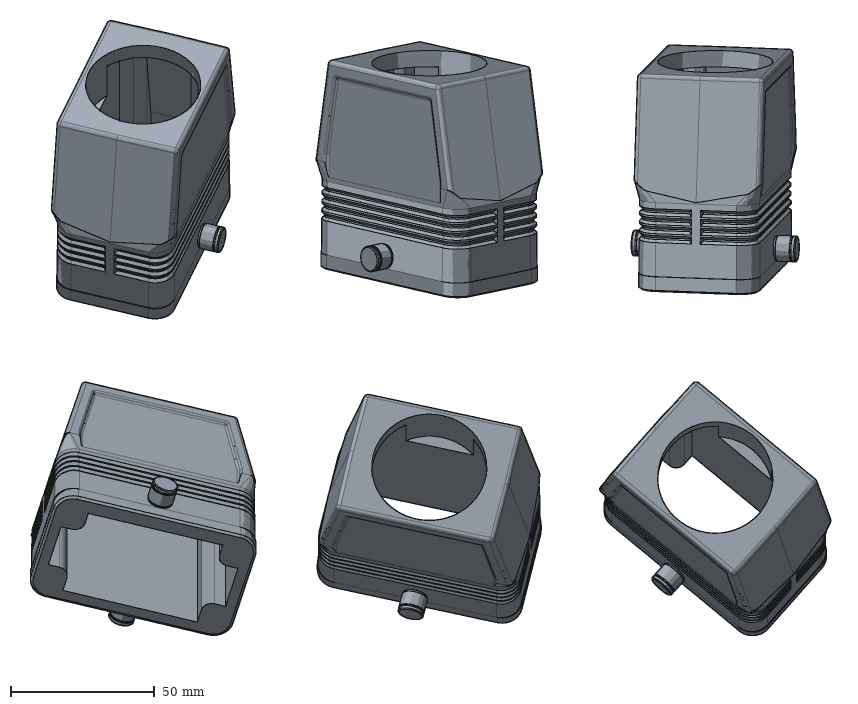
import cadquery as cq
import math

height = 75.25
pin_span = 58.0

margin = 0.75
thin = 0.1

flange_half_x = 21.45
flange_half_y = 36.5
flange_height = 5.4
flange_edge_height = 0.6
flange_edge_width = 0.9
corner_radius = 7.15
body_half_x = 21.45
body_half_y = 36.2
shoulder_z = 31.6
body_draft = 0.2

groove_count = 4
groove_bottom_z = 17.45
groove_width = 2.5
groove_floor = 0.6
groove_depth = 1.05
land_width = 0.7
bridge_half_width = 1.4
bridge_root_half_width = 2.5

hood_half_x = 22.5
hood_start_z = 38.8
end_half_y_top = 28.3
end_half_y_bottom = 36.0
end_bulge = 0.3
hood_fillet = 1.5
ridge_foot_z = 32.05
rim_break_x = 18.35
rim_break_z = 35.6
flare_setback = 0.19

panel_floor_x = 21.5
panel_top_z = 69.4
panel_top_half_y = 23.6
panel_knee_z = 41.55
panel_knee_half_y = 28.45
panel_wall_run = 0.6
panel_round = 0.9
panel_corner_round = 0.75

opening_radius = 20.0
opening_floor_z = 55.4
ceiling_z = 69.45
cavity_min_x = -17.0
cavity_max_x = 15.95
cavity_half_y = 24.3
bay_half_x = 8.1
bay_corner_radius = 3.7
bay_half_y_top = 26.25
bay_half_y_bottom = 32.0

pin_radius = 4.5
pin_z = 9.85
pin_end_chamfer = 0.4
pin_groove_start = 1.4
pin_groove_width = 0.5
pin_groove_depth = 0.2
pin_neck_length = 0.6
pin_neck_depth = 0.3


def rounded_loft(z0, half0, radius0, z1, half1, radius1):
    """Solid between two rounded rectangles at heights z0 and z1."""
    def section(z, half, radius):
        plan = cq.Sketch().rect(2 * half[0], 2 * half[1]).vertices().fillet(radius)
        return plan.moved(cq.Location(cq.Vector(0, 0, z)))

    lower = section(z0, half0, radius0)
    upper = section(z1, half1, radius1)
    return cq.Workplane("XY").placeSketch(lower, upper).loft(ruled=True)


def body_inset(z):
    """Inward shift of the drafted body wall at height z."""
    return body_draft * (z - flange_height) / (shoulder_z - flange_height)


def body_slice(z0, inset0, z1, inset1):
    """Slice of the body whose walls are set in from the drafted wall."""
    total0 = body_inset(z0) + inset0
    total1 = body_inset(z1) + inset1
    half0 = (body_half_x - total0, body_half_y - total0)
    half1 = (body_half_x - total1, body_half_y - total1)
    return rounded_loft(z0, half0, corner_radius - total0, z1, half1, corner_radius - total1)


def make_flange():
    base = rounded_loft(
        0, (flange_half_x, flange_half_y), corner_radius,
        flange_height, (flange_half_x, flange_half_y), corner_radius,
    )
    return base.faces("<Z").chamfer(flange_edge_height, flange_edge_width)


def make_body():
    slope = (groove_width - groove_floor) / 2
    profile = [(flange_height, 0)]
    for i in range(groove_count):
        z = groove_bottom_z + i * (groove_width + land_width)
        profile += [
            (z, 0),
            (z + slope, groove_depth),
            (z + slope + groove_floor, groove_depth),
            (z + groove_width, 0),
        ]
    profile.append((shoulder_z, 0))

    grooved = None
    for (z0, inset0), (z1, inset1) in zip(profile, profile[1:]):
        piece = body_slice(z0, inset0, z1, inset1)
        grooved = piece if grooved is None else grooved.union(piece)

    root_y = body_half_y - groove_depth - body_draft
    plain = body_slice(flange_height, 0, shoulder_z, 0)
    bridge = (
        cq.Workplane("XY")
        .polyline([
            (-bridge_half_width, -flange_half_y),
            (bridge_half_width, -flange_half_y),
            (bridge_half_width, -body_half_y),
            (bridge_root_half_width, -root_y),
            (-bridge_root_half_width, -root_y),
            (-bridge_half_width, -body_half_y),
        ])
        .close()
        .extrude(shoulder_z)
    )
    bridges = bridge.union(bridge.mirror("XZ"))
    return grooved.union(plain.intersect(bridges))


def end_half_y(z):
    """Half length of the hood along its middle line at height z."""
    share = (z - shoulder_z) / (height - shoulder_z)
    return end_half_y_bottom + share * (end_half_y_top - end_half_y_bottom)


def make_hood_block():
    """Hood with rounded edges, carried straight down to the shoulder."""
    def plan(z):
        middle = end_half_y(z)
        side = middle - end_bulge
        return [
            (-hood_half_x, -side), (0, -middle), (hood_half_x, -side),
            (hood_half_x, side), (0, middle), (-hood_half_x, side),
        ]

    block = (
        cq.Workplane("XY", origin=(0, 0, shoulder_z))
        .polyline(plan(shoulder_z)).close()
        .workplane(offset=height - shoulder_z)
        .polyline(plan(height)).close()
        .loft(ruled=True)
    )
    above_foot = cq.selectors.BoxSelector(
        (-flange_half_y, -flange_half_y, shoulder_z + margin),
        (flange_half_y, flange_half_y, height + margin),
    )
    side_edges = block.faces("<X or >X").edges(above_foot).vals()
    top_edges = block.faces(">Z").edges("not <X").edges("not >X").vals()
    return block.newObject(side_edges + top_edges).fillet(hood_fillet)


def make_panel_tool():
    """Pocket of the +X panel; it runs out below the shoulder."""
    pocket_depth = hood_half_x - panel_floor_x
    overshoot = 0.75
    run_out = 3.8
    growth = panel_wall_run * (pocket_depth + overshoot) / pocket_depth

    def outline(grow):
        top_half_y = panel_top_half_y + grow
        knee_half_y = panel_knee_half_y + grow
        bottom_z = shoulder_z - run_out
        right = [(knee_half_y, bottom_z), (knee_half_y, panel_knee_z), (top_half_y, panel_top_z + grow)]
        left = [(-y, z) for y, z in reversed(right)]
        return right + left

    tool = (
        cq.Workplane("YZ", origin=(panel_floor_x, 0, 0))
        .polyline(outline(0)).close()
        .workplane(offset=pocket_depth + overshoot)
        .polyline(outline(growth)).close()
        .loft(ruled=True)
    )
    upper_corners = cq.selectors.BoxSelector(
        (panel_floor_x, -hood_start_z, panel_top_z - margin),
        (hood_half_x + 2 * margin, hood_start_z, height),
    )
    tool = tool.edges(upper_corners).edges("not |Y").fillet(panel_corner_round)
    return tool.faces("<X").edges("not(<Z)").fillet(panel_round)


def make_side_cutter(block):
    """Material to remove from the +X side: the panel pocket with its rounded rim."""
    reach_y = panel_knee_half_y + panel_wall_run + panel_round
    pocketed = block.cut(make_panel_tool())
    rim = cq.selectors.BoxSelector(
        (hood_half_x - thin, -reach_y, shoulder_z + margin),
        (hood_half_x + thin, reach_y, height - hood_fillet - margin),
    )
    pocketed = pocketed.edges(rim).fillet(panel_round)
    zone = cq.Workplane("XY").box(
        hood_half_x, 2 * reach_y, height - hood_fillet - shoulder_z, centered=(False, True, False)
    )
    return zone.translate((panel_floor_x, 0, shoulder_z)).cut(pocketed)


def make_hood():
    block = make_hood_block()

    rim_outline = (
        cq.Workplane("XZ")
        .polyline([
            (0, ridge_foot_z),
            (rim_break_x, rim_break_z),
            (hood_half_x, hood_start_z),
            (hood_half_x, height),
            (-hood_half_x, height),
            (-hood_half_x, hood_start_z),
            (-rim_break_x, rim_break_z),
        ])
        .close()
        .extrude(flange_half_y, both=True)
    )

    waist_half = (body_half_x - body_draft, body_half_y - body_draft)
    hood_half = (hood_half_x, end_half_y(hood_start_z) - end_bulge - flare_setback)
    flare = rounded_loft(
        shoulder_z, waist_half, corner_radius - body_draft, hood_start_z, hood_half, hood_fillet
    )

    cutter = make_side_cutter(block)
    hood = block.intersect(rim_outline).union(flare)
    return hood.cut(cutter).cut(cutter.mirror("YZ"))


def make_cavity():
    """Inside space, open at the bottom, with a narrower tapered bay at each end."""
    middle_x = (cavity_min_x + cavity_max_x) / 2
    room = (
        cq.Workplane("XY")
        .center(middle_x, 0)
        .rect(cavity_max_x - cavity_min_x, 2 * cavity_half_y)
        .extrude(ceiling_z)
    )

    mouth_half_x = bay_half_x + bay_corner_radius
    neck_y = cavity_half_y + bay_corner_radius
    arc_shift = bay_corner_radius * (1 - math.sqrt(0.5))
    arc_x = bay_half_x + arc_shift
    arc_y = cavity_half_y + arc_shift
    bay_plan = (
        cq.Workplane("XY")
        .moveTo(-mouth_half_x, 0)
        .lineTo(mouth_half_x, 0)
        .lineTo(mouth_half_x, cavity_half_y)
        .threePointArc((arc_x, arc_y), (bay_half_x, neck_y))
        .lineTo(bay_half_x, bay_half_y_bottom)
        .lineTo(-bay_half_x, bay_half_y_bottom)
        .lineTo(-bay_half_x, neck_y)
        .threePointArc((-arc_x, arc_y), (-mouth_half_x, cavity_half_y))
        .close()
        .extrude(ceiling_z)
    )
    bay_side = (
        cq.Workplane("YZ")
        .polyline([
            (0, 0),
            (bay_half_y_bottom, 0),
            (bay_half_y_bottom, shoulder_z),
            (bay_half_y_top, ceiling_z),
            (0, ceiling_z),
        ])
        .close()
        .extrude(hood_half_x, both=True)
    )
    bay = bay_plan.intersect(bay_side)
    return room.union(bay).union(bay.mirror("XZ"))


def make_opening():
    depth = height - opening_floor_z
    return cq.Workplane("XY", origin=(0, 0, opening_floor_z)).circle(opening_radius).extrude(depth)


def make_pin():
    """Locking pin on the +X side, turned about its axis."""
    root_x = cavity_max_x + (body_half_x - cavity_max_x) / 2
    end_x = pin_span / 2
    groove_end_x = end_x - pin_groove_start
    groove_root_x = groove_end_x - pin_groove_width
    neck_x = body_half_x + pin_neck_length
    neck_radius = pin_radius - pin_neck_depth
    groove_radius = pin_radius - pin_groove_depth
    return (
        cq.Workplane("XY")
        .polyline([
            (root_x, 0),
            (root_x, neck_radius),
            (neck_x, neck_radius),
            (neck_x, pin_radius),
            (groove_root_x, pin_radius),
            (groove_root_x, groove_radius),
            (groove_end_x, groove_radius),
            (groove_end_x, pin_radius),
            (end_x - pin_end_chamfer, pin_radius),
            (end_x, pin_radius - pin_end_chamfer),
            (end_x, 0),
        ])
        .close()
        .revolve(360, (0, 0, 0), (1, 0, 0))
        .translate((0, 0, pin_z))
    )


pin = make_pin()
shell = make_flange().union(make_body()).union(make_hood())
shell = shell.cut(make_cavity()).cut(make_opening())
result = shell.union(pin).union(pin.mirror("YZ"))